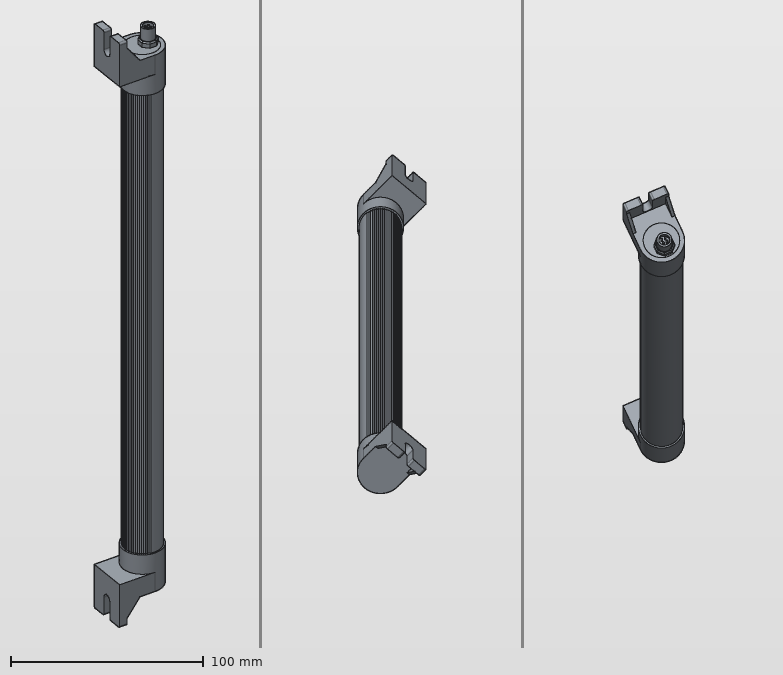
import cadquery as cq
import math

overall_length = 358.0
tip_z = overall_length / 2

tube_diameter = 22.2
tube_radius = tube_diameter / 2
tube_end_z = 140.7
flute_diameter = 1.0
flute_count = 30
flute_start_depth = 1.8

cap_diameter = 24.0
cap_radius = cap_diameter / 2
foot_z = 152.5
cap_top_z = 164.5
foot_front_y = -22.0
plate_thickness = 4.5
plate_back_y = foot_front_y + plate_thickness
gusset_thickness = 1.8
gusset_start_y = -9.3
gusset_top_z = 174.7
plate_corner_radius = 1.0
slot_width = 5.5
slot_end_z = 165.0

plug_diameter = 19.0
connector_y = 3.5
connector_diameter = 8.0
connector_top_z = 175.0
collar_width = 10.0
collar_sides = 8
collar_height = 3.2
collar_chamfer = 0.7
socket_diameter = 5.7
socket_depth = 3.0
pin_diameter = 1.0
pin_length = 2.0
pin_circle_diameter = 3.0
pin_count = 4
first_pin_angle = 45


def cylinder(diameter, bottom_z, top_z, centre_y=0):
    """Upright cylinder between two levels, with its axis at X = 0."""
    base = cq.Workplane("XY", origin=(0, centre_y, bottom_z))
    return base.circle(diameter / 2).extrude(top_z - bottom_z)


def make_tube():
    """Round tube whose front carries fine half-round flutes along its whole length."""
    tube = cylinder(tube_diameter, -tube_end_z, tube_end_z)
    start_angle = math.asin(flute_start_depth / tube_radius)
    fluted_angle = math.pi - 2 * start_angle
    pitch_angle = fluted_angle / flute_count
    flute_centres = []
    for i in range(flute_count):
        angle = math.pi + start_angle + (i + 0.5) * pitch_angle
        flute_centres.append((tube_radius * math.cos(angle), tube_radius * math.sin(angle)))
    flutes = (
        cq.Workplane("XY", origin=(0, 0, -tube_end_z))
        .pushPoints(flute_centres)
        .circle(flute_diameter / 2)
        .extrude(2 * tube_end_z)
    )
    return tube.cut(flutes)


def make_foot():
    """Slotted foot plate on a block, braced by a sloping gusset at each side."""
    foot = (
        cq.Workplane("YZ", origin=(-cap_radius, 0, 0))
        .moveTo(0, foot_z)
        .lineTo(0, cap_top_z)
        .lineTo(gusset_start_y, cap_top_z)
        .lineTo(plate_back_y, gusset_top_z)
        .lineTo(plate_back_y, tip_z)
        .lineTo(foot_front_y, tip_z)
        .lineTo(foot_front_y, foot_z)
        .close()
        .extrude(cap_diameter)
    )
    gap_between_gussets = cq.Workplane("XY", origin=(0, plate_back_y, cap_top_z)).box(
        cap_diameter - 2 * gusset_thickness, -plate_back_y, tip_z - cap_top_z, centered=(True, False, False)
    )
    slot_centre_z = slot_end_z + slot_width / 2
    slot = (
        cq.Workplane("XZ", origin=(0, foot_front_y, 0))
        .moveTo(-slot_width / 2, tip_z)
        .lineTo(-slot_width / 2, slot_centre_z)
        .threePointArc((0, slot_end_z), (slot_width / 2, slot_centre_z))
        .lineTo(slot_width / 2, tip_z)
        .close()
        .extrude(-plate_thickness)
    )
    return foot.cut(gap_between_gussets).cut(slot).faces(">Z").edges("|Y").fillet(plate_corner_radius)


def make_bracket():
    """Upper bracket: a round cap against the tube end that carries the foot."""
    cap = cylinder(cap_diameter, tube_end_z, cap_top_z)
    return cap.union(make_foot())


def make_connector():
    """Cable connector: round plug in the upper bracket, octagonal collar, and a stem with a pin socket."""
    plug = cylinder(plug_diameter, tube_end_z, cap_top_z)
    stem = cylinder(connector_diameter, cap_top_z, connector_top_z, connector_y)
    collar = (
        cq.Workplane("XY", origin=(0, connector_y, cap_top_z))
        .polygon(collar_sides, collar_width, circumscribed=True)
        .extrude(collar_height)
        .faces(">Z")
        .chamfer(collar_chamfer)
    )
    socket_floor_z = connector_top_z - socket_depth
    socket = cylinder(socket_diameter, socket_floor_z, connector_top_z, connector_y)
    pins = (
        cq.Workplane("XY", origin=(0, connector_y, socket_floor_z))
        .polarArray(pin_circle_diameter / 2, first_pin_angle, 360, pin_count)
        .circle(pin_diameter / 2)
        .extrude(pin_length)
    )
    return plug.union(collar).union(stem).cut(socket).union(pins)


tube = make_tube()
lower_bracket = make_bracket().mirror("XY")
connector = make_connector()
plug_bore = cylinder(plug_diameter, tube_end_z, cap_top_z)
upper_bracket = make_bracket().cut(plug_bore)

result = cq.Compound.makeCompound(
    [tube.val(), upper_bracket.val(), lower_bracket.val(), connector.val()]
)